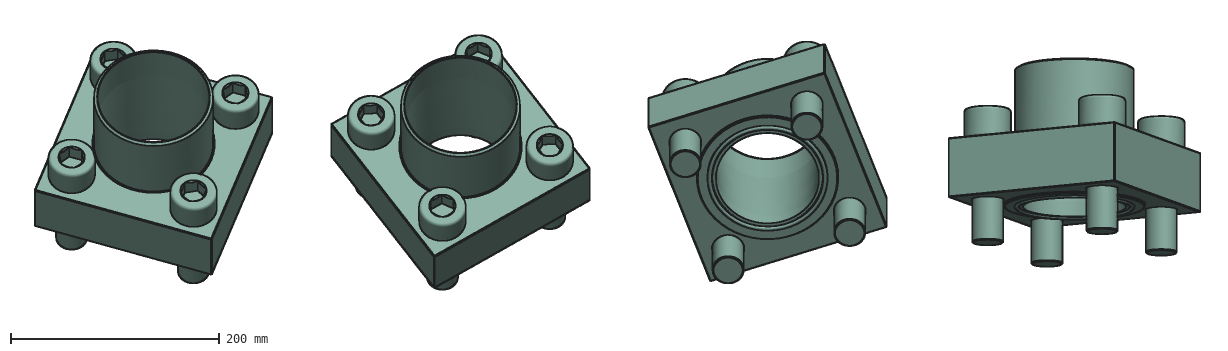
import cadquery as cq
import math

plate_side = 180.0
plate_thickness = 58.0
plate_chamfer = 0.9
bore_diameter = 115.5
bore_mouth_diameter = 117.7
bore_chamfer = (bore_mouth_diameter - bore_diameter) / 2
recess_diameter = 136.0

screw_spacing = 123.7
screw_hole_diameter = 31.0
shank_diameter = 30.0
shank_length = 100.0
shank_chamfer = 1.0
head_diameter = 45.0
head_height = shank_diameter
head_fillet = 3.0
socket_corner_diameter = 25.4
socket_depth = 16.2
socket_countersink_angle = 45.0

neck_diameter = 115.0
tube_diameter = 114.3
tube_bore_diameter = 107.1
throat_diameter = 99.0
tube_height = 74.9
bevel_land_diameter = 108.5
bevel_height = 1.6
taper_depth = 37.5
taper_length = 82.6
collar_diameter = 135.0
collar_thickness = 18.0
collar_protrusion = 2.0
collar_chamfer = 0.7

ring_outer_diameter = 115.0
ring_inner_diameter = 107.1
ring_section_diameter = (ring_outer_diameter - ring_inner_diameter) / 2
ring_protrusion = 1.8
groove_inner_diameter = 106.0
groove_outer_diameter = bore_diameter
groove_depth = ring_section_diameter - ring_protrusion

plate_top = plate_thickness
collar_bottom = -collar_protrusion
collar_top = collar_bottom + collar_thickness

half_spacing = screw_spacing / 2
screw_places = [
    (x, y, x * y < 0)
    for x in (-half_spacing, half_spacing)
    for y in (-half_spacing, half_spacing)
]


def disc(diameter, height, bottom):
    return cq.Workplane("XY").workplane(offset=bottom).circle(diameter / 2).extrude(height)


def make_plate():
    block = (
        cq.Workplane("XY")
        .rect(plate_side, plate_side)
        .extrude(plate_thickness)
        .edges()
        .chamfer(plate_chamfer)
    )
    bore = disc(bore_diameter, plate_thickness, 0)
    recess = disc(recess_diameter, collar_top, 0)
    plate = block.cut(bore).cut(recess)
    plate = plate.faces(">Z").edges("%CIRCLE").chamfer(bore_chamfer)
    screw_holes = (
        cq.Workplane("XY")
        .rect(screw_spacing, screw_spacing, forConstruction=True)
        .vertices()
        .circle(screw_hole_diameter / 2)
        .extrude(plate_thickness)
    )
    return plate.cut(screw_holes)


def make_nipple():
    tube_top = plate_top + tube_height
    taper_top = tube_top - taper_depth
    profile = [
        (throat_diameter / 2, collar_bottom),
        (collar_diameter / 2 - collar_chamfer, collar_bottom),
        (collar_diameter / 2, collar_bottom + collar_chamfer),
        (collar_diameter / 2, collar_top),
        (neck_diameter / 2, collar_top),
        (neck_diameter / 2, plate_top),
        (tube_diameter / 2, plate_top),
        (tube_diameter / 2, tube_top - bevel_height),
        (bevel_land_diameter / 2, tube_top),
        (tube_bore_diameter / 2, tube_top),
        (tube_bore_diameter / 2, taper_top),
        (throat_diameter / 2, taper_top - taper_length),
    ]
    body = cq.Workplane("XZ").polyline(profile).close().revolve(360, (0, 0), (0, 1))
    groove = disc(groove_outer_diameter, groove_depth, collar_bottom).cut(
        disc(groove_inner_diameter, groove_depth, collar_bottom)
    )
    return body.cut(groove)


def make_o_ring():
    center_radius = (ring_inner_diameter + ring_section_diameter) / 2
    center_height = collar_bottom + groove_depth - ring_section_diameter / 2
    return (
        cq.Workplane("XZ")
        .center(center_radius, center_height)
        .circle(ring_section_diameter / 2)
        .revolve(360, (-center_radius, 0), (-center_radius, 1))
    )


def make_socket(head_top, corner_along_y):
    hexagon = (
        cq.Workplane("XY")
        .workplane(offset=head_top - socket_depth)
        .transformed(rotate=(0, 0, 90 if corner_along_y else 0))
        .polygon(6, socket_corner_diameter)
        .extrude(socket_depth)
    )
    corner_radius = socket_corner_diameter / 2
    cone_depth = corner_radius * math.tan(math.radians(socket_countersink_angle))
    countersink = cq.Workplane("XY").add(
        cq.Solid.makeCone(0, corner_radius, cone_depth, cq.Vector(0, 0, head_top - cone_depth))
    )
    return hexagon.union(countersink)


def make_screw(x, y, corner_along_y):
    head = disc(head_diameter, head_height, plate_top).edges().fillet(head_fillet)
    shank = disc(shank_diameter, shank_length, plate_top - shank_length)
    shank = shank.faces("<Z").chamfer(shank_chamfer)
    socket = make_socket(plate_top + head_height, corner_along_y)
    return head.union(shank).cut(socket).translate((x, y, 0))


plate = make_plate()
nipple = make_nipple()
o_ring = make_o_ring()
screws = [make_screw(*place) for place in screw_places]

result = cq.Compound.makeCompound(
    [plate.val(), nipple.val(), o_ring.val(), *[screw.val() for screw in screws]]
)